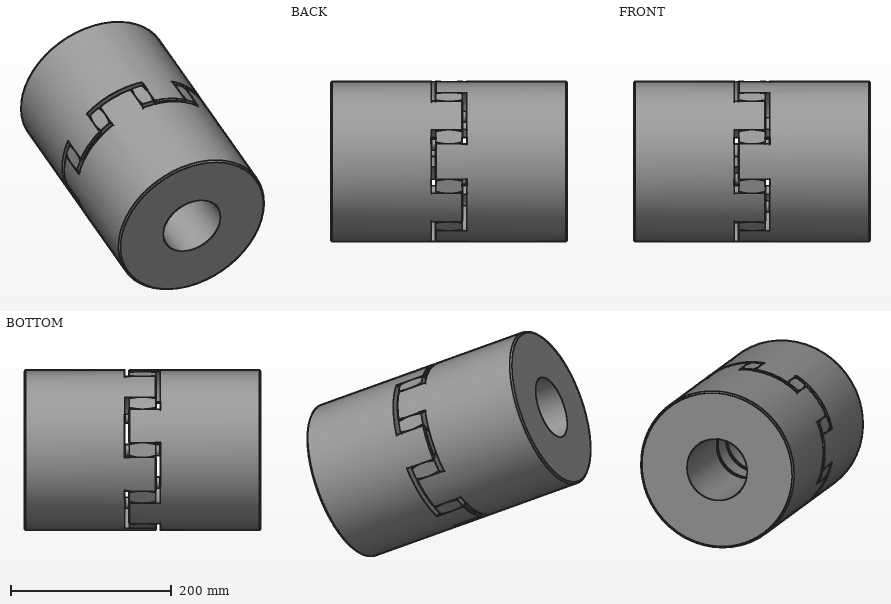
import cadquery as cq
import math


length = 295.0
outer_radius = 100.0
bore_radius = 39.2

hub_face = 22.5
jaw_tip = 17.5
spider_face = 16.2
stud_end = 21.5

jaw_count = 5
jaw_inner_radius = 60.2
jaw_pitch = 360 / jaw_count
leg_pitch = jaw_pitch / 2
jaw_offset = leg_pitch / 2

flank_radius = 39.5
flank_centre_out = 76.7
flank_centre_side = 23.0
crown_drop = 1.8

stud_radius = 7.0
stud_circle_radius = 69.0

end_chamfer = 2.0
tip_chamfer = 1.8

oversize = 3.0
oversize_radius = outer_radius + oversize


def section_plane(x):
    """Plane across the coupling axis: its own x axis is +Z and its own y axis is -Y."""
    return cq.Workplane(cq.Plane(origin=(x, 0, 0), xDir=(0, 0, 1), normal=(1, 0, 0)))


def polar(radius, degrees):
    angle = math.radians(degrees)
    return (radius * math.cos(angle), radius * math.sin(angle))


def turned(shape, degrees):
    """Rotate a shape about the coupling axis."""
    return shape.rotate((0, 0, 0), (1, 0, 0), degrees)


def leg_half_angle(radius):
    """Angle from the middle line of a leg to its flank, at a distance from the axis."""
    reach = math.hypot(flank_centre_out, flank_centre_side)
    cosine = (radius**2 + reach**2 - flank_radius**2) / (2 * radius * reach)
    tilt = math.atan2(flank_centre_side, flank_centre_out)
    return math.degrees(math.acos(cosine) - tilt)


def jaw_half_angle(radius):
    return jaw_offset - leg_half_angle(radius)


def make_jaw_core():
    """One jaw centred on +Z, pointing toward +X, with its outer side oversize."""
    middle_radius = (jaw_inner_radius + oversize_radius) / 2
    inner = jaw_half_angle(jaw_inner_radius)
    middle = jaw_half_angle(middle_radius)
    outer = jaw_half_angle(oversize_radius)
    return (
        section_plane(-hub_face)
        .moveTo(*polar(jaw_inner_radius, -inner))
        .threePointArc(polar(middle_radius, -middle), polar(oversize_radius, -outer))
        .threePointArc(polar(oversize_radius, 0), polar(oversize_radius, outer))
        .threePointArc(polar(middle_radius, middle), polar(jaw_inner_radius, inner))
        .threePointArc(polar(jaw_inner_radius, 0), polar(jaw_inner_radius, -inner))
        .close()
        .extrude(hub_face + jaw_tip)
    )


def make_clearance():
    """The space around the jaws of the -X hub, beyond its gullet floor."""
    clearance = section_plane(-hub_face).circle(oversize_radius).extrude(hub_face + jaw_tip)
    jaw = make_jaw_core()
    for index in range(jaw_count):
        clearance = clearance.cut(turned(jaw, index * jaw_pitch - jaw_offset))
    return clearance


def make_hub():
    """The hub at the -X end, its jaws pointing toward +X."""
    end = -length / 2
    blank = (
        section_plane(end)
        .circle(outer_radius)
        .extrude(jaw_tip - end)
        .faces("<X")
        .chamfer(end_chamfer)
        .faces(">X")
        .chamfer(tip_chamfer)
    )
    bore = section_plane(end).circle(bore_radius).extrude(jaw_tip - end)
    return blank.cut(bore).cut(make_clearance())


def make_leg():
    """One spider leg on +Z: the lens between two crowned barrels, trimmed to the outer radius."""
    end_radius = flank_radius - crown_drop
    barrel = (
        cq.Workplane("XY")
        .moveTo(-spider_face, 0)
        .lineTo(-spider_face, end_radius)
        .threePointArc((0, flank_radius), (spider_face, end_radius))
        .lineTo(spider_face, 0)
        .close()
        .revolve(360, (0, 0, 0), (1, 0, 0))
    )
    left_barrel = barrel.translate((0, -flank_centre_side, flank_centre_out))
    right_barrel = barrel.translate((0, flank_centre_side, flank_centre_out))
    trim = section_plane(-spider_face).circle(outer_radius).extrude(2 * spider_face)
    return left_barrel.intersect(right_barrel).intersect(trim)


def make_stud():
    """One spacer stud on +Z, from the middle of a leg toward +X."""
    return section_plane(0).center(stud_circle_radius, 0).circle(stud_radius).extrude(stud_end)


def make_spider():
    spider = (
        section_plane(-spider_face)
        .circle(jaw_inner_radius)
        .circle(bore_radius)
        .extrude(2 * spider_face)
    )
    leg = make_leg()
    stud = make_stud()
    for index in range(2 * jaw_count):
        facing_stud = stud if index % 2 == 0 else stud.mirror("YZ")
        spider = spider.union(turned(leg.union(facing_stud), index * leg_pitch))
    return spider


left_hub = make_hub()
right_hub = turned(left_hub.mirror("YZ"), leg_pitch)
spider = make_spider()

result = cq.Compound.makeCompound(
    [left_hub.solids().val(), right_hub.solids().val(), spider.solids().val()]
)